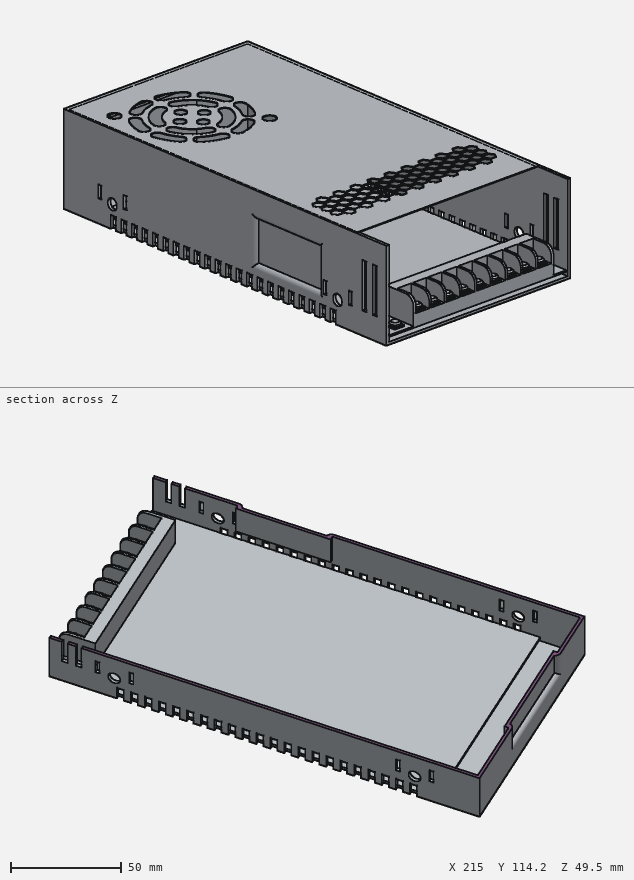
import cadquery as cq
import math

LENGTH = 215.0
WIDTH = 114.2
HEIGHT = 49.5
WALL = 1.7
COVER = 0.5
FLOOR = 1.5
COVER_LENGTH = 194.5

MOUNT_X = 32.5
MOUNT_Z = 12.5
MOUNT_DIAMETER = 6.0
TAB_SLOT_SPACING = 8.4
TAB_SLOT_WIDTH = 2.0
TAB_SLOT_TOP = 19.4
END_SLOT_XS = (200.4, 207.3)
END_SLOT_WIDTH = 2.8
END_SLOT_TOP = 37.5
NOTCH_COUNT = 22
NOTCH_FIRST_X = 33.1
NOTCH_LAST_X = 179.5
NOTCH_WIDTH = 3.5
NOTCH_HEIGHT = 6.9

RECESS_RIM_WIDTH = 2.8
RECESS_DEPTH = 2.0
FRONT_RECESS_SIZE = (47.5, 27.3)
FRONT_RECESS_CENTER = (149.0, 23.9)
END_RECESS_SIZE = (53.3, 28.0)
END_RECESS_CENTER = (-4.5, 25.0)

FAN_X = 46.5
FAN_Y = -20.6
FAN_SCREW_OFFSET = 25.0
FAN_SCREW_DIAMETER = 6.7
HUB_HOLE_OFFSET = 7.5
HUB_HOLE_DIAMETER = 6.0
INNER_RING_RADIUS = 16.8
OUTER_RING_RADIUS = 26.0
RING_SLOT_WIDTH = 6.0
SPOKE_WIDTH = 3.0

VENT_X = 165.3
VENT_Y = 0.2
HEX_FLATS = 5.2
HEX_PITCH_X = 6.0
HEX_SHORT_ROW = 3
HEX_ROWS = 19
HEX_ROWS_SPAN = 95.0

BOARD_START_X = 21.0
BOARD_BOTTOM = 3.9
BOARD_TOP = 4.7
BOARD_SIDE_GAP = 0.9
STANDOFF_RADIUS = 3.0
STANDOFF_XS = (25.8, 182.5)
STANDOFF_Y = 47.3

BLOCK_START_X = 196.7
BLOCK_LENGTH = 86.9
BLOCK_CENTER_Y = 3.2
BLOCK_TOP = 19.4
BLOCK_ROUNDING = 5.0
CELL_COUNT = 9
CELL_PITCH = 9.5
CELL_WIDTH = 8.2
CELL_START_X = 203.0
CELL_FLOOR = 10.8
SCREW_X = 210.7
GROUND_SCREW_X = 209.2
GROUND_SCREW_Y = -46.2

WASHER_SIZE = 5.8
WASHER_THICKNESS = 0.9
SCREW_RADIUS = 2.8
SCREW_HEIGHT = 1.7
SCREW_CHAMFER = 0.9


def box(x_range, y_range, z_range):
    size = [high - low for low, high in (x_range, y_range, z_range)]
    corner = (x_range[0], y_range[0], z_range[0])
    return cq.Workplane("XY").box(*size, centered=False).translate(corner)


def slots_through_walls(centers, width, height):
    """Rectangular slots through both long walls, centred at the given X, Z points."""
    return cq.Workplane("XZ").pushPoints(centers).rect(width, height).extrude(WIDTH, both=True)


def make_shell():
    half = WIDTH / 2
    inner = half - WALL
    shell = box((0, LENGTH), (-half, half), (0, HEIGHT))
    shell = shell.cut(box((WALL, LENGTH), (-inner, inner), (FLOOR, HEIGHT - COVER)))
    return shell.cut(box((COVER_LENGTH, LENGTH), (-inner, inner), (FLOOR, HEIGHT)))


def make_side_openings():
    mount_xs = (MOUNT_X, LENGTH - MOUNT_X)
    mounts = [(x, MOUNT_Z) for x in mount_xs]
    mount_holes = cq.Workplane("XZ").pushPoints(mounts).circle(MOUNT_DIAMETER / 2)
    openings = mount_holes.extrude(WIDTH, both=True)

    tab_height = TAB_SLOT_TOP - MOUNT_Z
    tabs = [(x + side * TAB_SLOT_SPACING, MOUNT_Z + tab_height / 2) for x in mount_xs for side in (-1, 1)]
    openings = openings.union(slots_through_walls(tabs, TAB_SLOT_WIDTH, tab_height))

    slot_height = END_SLOT_TOP - MOUNT_Z
    slots = [(x, MOUNT_Z + slot_height / 2) for x in END_SLOT_XS]
    return openings.union(slots_through_walls(slots, END_SLOT_WIDTH, slot_height))


def make_notches():
    """Vents along both bottom edges, as deep into the floor as the walls are thick."""
    pitch = (NOTCH_LAST_X - NOTCH_FIRST_X) / (NOTCH_COUNT - 1)
    points = []
    for index in range(NOTCH_COUNT):
        for side in (-1, 1):
            points.append((NOTCH_FIRST_X + index * pitch, side * (WIDTH - WALL) / 2))
    return cq.Workplane("XY").pushPoints(points).rect(NOTCH_WIDTH, WALL).extrude(NOTCH_HEIGHT)


def recess_groove(face, width, length):
    """Straight groove whose sides leave the wall face tangentially and curve down to a flat floor."""
    rim_radius = (RECESS_RIM_WIDTH**2 + RECESS_DEPTH**2) / (2 * RECESS_DEPTH)
    half_arc = math.atan(RECESS_DEPTH / RECESS_RIM_WIDTH)
    top = width / 2
    floor = top - RECESS_RIM_WIDTH
    arc_x = top - rim_radius * math.sin(half_arc)
    arc_y = -rim_radius * (1 - math.cos(half_arc))
    return (
        face.moveTo(-top, 0)
        .threePointArc((-arc_x, arc_y), (-floor, -RECESS_DEPTH))
        .lineTo(floor, -RECESS_DEPTH)
        .threePointArc((arc_x, arc_y), (top, 0))
        .close()
        .extrude(length / 2, both=True)
    )


def add_recess(body, origin, across_dir, outward_dir, size):
    """Back the wall with a pad and sink a recess in it, with its curved rims mitred at the corners."""
    across_vector = cq.Vector(*across_dir)
    outward = cq.Vector(*outward_dir)
    up = cq.Vector(0, 0, 1)
    width, height = size
    pad = cq.Workplane(cq.Plane(origin, across_vector, outward)).rect(width, height)
    along_up = cq.Workplane(cq.Plane(origin, across_vector, across_vector.cross(outward)))
    along_across = cq.Workplane(cq.Plane(origin, up, up.cross(outward)))
    recess = recess_groove(along_up, width, height).intersect(recess_groove(along_across, height, width))
    return body.union(pad.extrude(-RECESS_DEPTH - WALL)).cut(recess)


def arc_slot(radius, start, end):
    """Curved slot with round ends and a spoke's half width clear at each end; angles in radians."""
    def polar(distance, angle):
        return (distance * math.cos(angle), distance * math.sin(angle))

    outer = radius + RING_SLOT_WIDTH / 2
    inner = radius - RING_SLOT_WIDTH / 2
    cap = RING_SLOT_WIDTH / 2 / radius
    setback = math.asin((SPOKE_WIDTH + RING_SLOT_WIDTH) / 2 / radius)
    first = start + setback
    last = end - setback
    middle = (start + end) / 2
    return (
        cq.Workplane("XY", origin=(FAN_X, FAN_Y, HEIGHT - WALL))
        .moveTo(*polar(outer, first))
        .threePointArc(polar(outer, middle), polar(outer, last))
        .threePointArc(polar(radius, last + cap), polar(inner, last))
        .threePointArc(polar(inner, middle), polar(inner, first))
        .threePointArc(polar(radius, first - cap), polar(outer, first))
        .close()
        .extrude(2 * WALL)
    )


def make_fan_grille():
    plane = cq.Workplane("XY", origin=(FAN_X, FAN_Y, HEIGHT - WALL))
    screws = [(FAN_SCREW_OFFSET, FAN_SCREW_OFFSET), (-FAN_SCREW_OFFSET, -FAN_SCREW_OFFSET)]
    grille = plane.pushPoints(screws).circle(FAN_SCREW_DIAMETER / 2).extrude(2 * WALL)
    hub = plane.polarArray(HUB_HOLE_OFFSET, 0, 360, 4).circle(HUB_HOLE_DIAMETER / 2)
    grille = grille.union(hub.extrude(2 * WALL))
    for radius, slot_count in ((INNER_RING_RADIUS, 4), (OUTER_RING_RADIUS, 8)):
        step = 2 * math.pi / slot_count
        for index in range(slot_count):
            grille = grille.union(arc_slot(radius, index * step, (index + 1) * step))
    return grille


def make_honeycomb():
    """Alternating short and long rows of hexagons, corners toward +Y and -Y."""
    row_pitch = HEX_ROWS_SPAN / (HEX_ROWS - 1)
    centers = []
    for row in range(HEX_ROWS):
        count = HEX_SHORT_ROW + row % 2
        for column in range(count):
            x = (column - (count - 1) / 2) * HEX_PITCH_X
            centers.append((row * row_pitch - HEX_ROWS_SPAN / 2, -x))
    turned = cq.Plane(origin=(VENT_X, VENT_Y, HEIGHT - WALL), xDir=(0, 1, 0), normal=(0, 0, 1))
    corner_diameter = HEX_FLATS / math.cos(math.pi / 6)
    return cq.Workplane(turned).pushPoints(centers).polygon(6, corner_diameter).extrude(2 * WALL)


def make_board():
    half = WIDTH / 2 - WALL - BOARD_SIDE_GAP
    board = box((BOARD_START_X, LENGTH), (-half, half), (BOARD_BOTTOM, BOARD_TOP))
    posts = [(x, side * STANDOFF_Y) for x in STANDOFF_XS for side in (-1, 1)]
    return board.union(cq.Workplane("XY").pushPoints(posts).circle(STANDOFF_RADIUS).extrude(BOARD_TOP))


def make_screw(x, y, seat):
    plane = cq.Workplane("XY", origin=(x, y, seat))
    washer = plane.rect(WASHER_SIZE, WASHER_SIZE).extrude(WASHER_THICKNESS)
    head = plane.circle(SCREW_RADIUS).extrude(WASHER_THICKNESS + SCREW_HEIGHT)
    return washer.union(head.faces(">Z").edges().chamfer(SCREW_CHAMFER))


def make_terminals():
    half = BLOCK_LENGTH / 2
    y_range = (BLOCK_CENTER_Y - half, BLOCK_CENTER_Y + half)
    block = box((BLOCK_START_X, LENGTH), y_range, (BOARD_TOP, BLOCK_TOP))
    block = block.edges(">X and >Z").fillet(BLOCK_ROUNDING)
    ys = [BLOCK_CENTER_Y + (index - (CELL_COUNT - 1) / 2) * CELL_PITCH for index in range(CELL_COUNT)]
    for y in ys:
        cell_range = (y - CELL_WIDTH / 2, y + CELL_WIDTH / 2)
        block = block.cut(box((CELL_START_X, LENGTH), cell_range, (CELL_FLOOR, BLOCK_TOP)))
    for y in ys:
        block = block.union(make_screw(SCREW_X, y, CELL_FLOOR))
    return block.union(make_screw(GROUND_SCREW_X, GROUND_SCREW_Y, BOARD_TOP))


enclosure = make_shell()
for openings in (make_side_openings(), make_notches(), make_fan_grille(), make_honeycomb()):
    enclosure = enclosure.cut(openings)
front_origin = (FRONT_RECESS_CENTER[0], -WIDTH / 2, FRONT_RECESS_CENTER[1])
end_origin = (0, *END_RECESS_CENTER)
enclosure = add_recess(enclosure, front_origin, (1, 0, 0), (0, -1, 0), FRONT_RECESS_SIZE)
enclosure = add_recess(enclosure, end_origin, (0, -1, 0), (-1, 0, 0), END_RECESS_SIZE)

result = enclosure.union(make_board()).union(make_terminals())